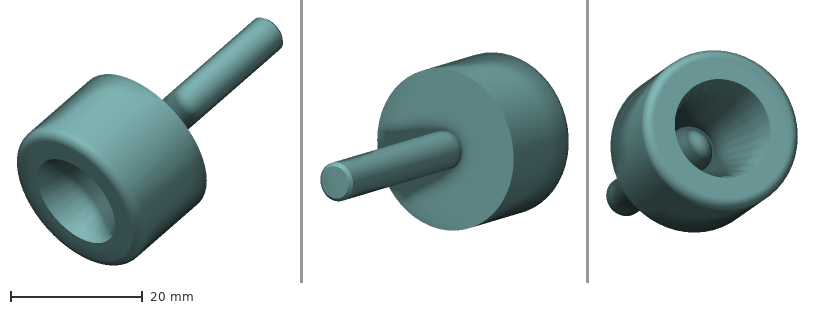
import cadquery as cq

head_diameter = 25.0
head_length = 16.0
front_round = 1.5

stem_diameter = 6.0
stem_length = 30.0
stem_chamfer = 0.5

socket_mouth_diameter = 15.4
socket_floor_diameter = 7.6
socket_depth = 15.0
ball_diameter = 7.5
nose_height = 2.4

front_y = -head_length
floor_y = front_y + socket_depth


def make_head():
    """Plain cylinder with a rounded front edge."""
    head = cq.Workplane("XZ").circle(head_diameter / 2).extrude(head_length)
    return head.faces("<Y").edges().fillet(front_round)


def make_stem():
    """Slender rod with a chamfered free end."""
    stem = cq.Workplane("XZ").circle(stem_diameter / 2).extrude(-stem_length)
    return stem.faces(">Y").edges().chamfer(stem_chamfer)


def make_socket():
    """Conical cavity that narrows from the front face to its floor."""
    return (
        cq.Workplane("XY")
        .moveTo(0, front_y)
        .lineTo(socket_mouth_diameter / 2, front_y)
        .lineTo(socket_floor_diameter / 2, floor_y)
        .lineTo(0, floor_y)
        .close()
        .revolve(360, (0, 0, 0), (0, 1, 0))
    )


def make_nose():
    """Cap of a ball that rises from the socket floor along the head's axis."""
    centre_y = floor_y - nose_height + ball_diameter / 2
    ball = cq.Workplane("XY").sphere(ball_diameter / 2).translate((0, centre_y, 0))
    above_floor = cq.Workplane("XZ", origin=(0, floor_y, 0)).circle(ball_diameter / 2).extrude(nose_height)
    return ball.intersect(above_floor)


socketed_head = make_head().cut(make_socket())
result = socketed_head.union(make_stem()).union(make_nose())